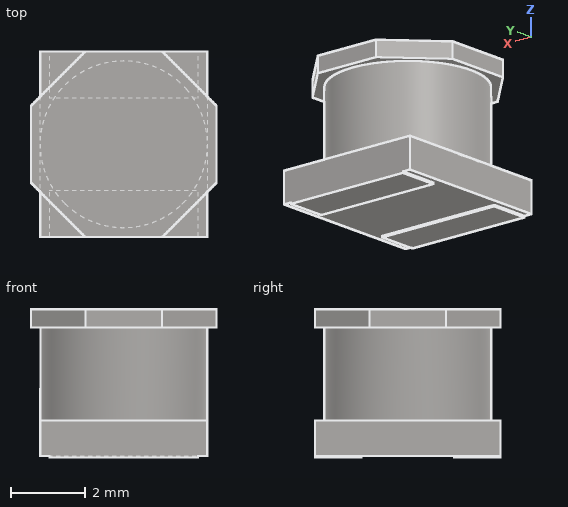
import cadquery as cq
import math

overall_width = 5.0
overall_height = 4.0

pad_thickness = 0.04
pad_length_x = 4.0
pad_width_y = 1.25

base_width_x = 4.5
base_top_z = 1.0
winding_diameter = 4.5
flange_thickness = 0.5
flange_bottom_z = overall_height - flange_thickness


def make_base():
    """Rectangular base resting on the terminal pads."""
    return (
        cq.Workplane("XY")
        .workplane(offset=pad_thickness)
        .rect(base_width_x, overall_width)
        .extrude(base_top_z - pad_thickness)
    )


def make_pads():
    """Two terminal pads, each flush with one Y end of the base."""
    pad_center_y = (overall_width - pad_width_y) / 2
    return (
        cq.Workplane("XY")
        .pushPoints([(0, -pad_center_y), (0, pad_center_y)])
        .rect(pad_length_x, pad_width_y)
        .extrude(pad_thickness)
    )


def make_winding():
    """Round body between the base and the flange."""
    return (
        cq.Workplane("XY")
        .workplane(offset=base_top_z)
        .circle(winding_diameter / 2)
        .extrude(flange_bottom_z - base_top_z)
    )


def make_flange():
    """Regular octagonal plate with flat sides facing X and Y."""
    corner_cut = overall_width / (2 + math.sqrt(2))
    return (
        cq.Workplane("XY")
        .workplane(offset=flange_bottom_z)
        .rect(overall_width, overall_width)
        .extrude(flange_thickness)
        .edges("|Z")
        .chamfer(corner_cut)
    )


result = make_base().union(make_pads()).union(make_winding()).union(make_flange())